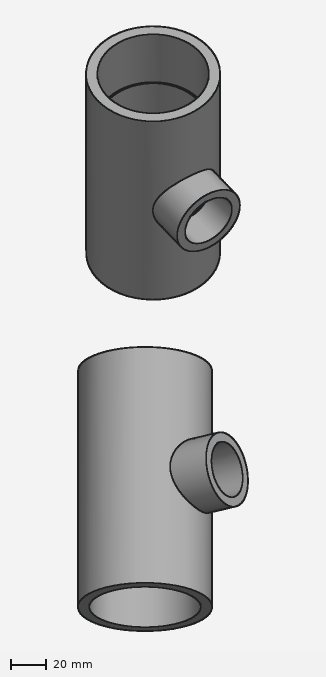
import cadquery as cq

body_length = 143.0
body_diameter = 76.0
body_socket_diameter = 63.0
body_bore_diameter = 61.0
body_socket_depth = 38.3

branch_reach = 55.6
branch_diameter = 43.0
branch_socket_diameter = 32.0
branch_bore_diameter = 31.0
branch_socket_depth = 21.5


def vertical_cylinder(diameter, bottom, top):
    return cq.Workplane("XY").workplane(offset=bottom).circle(diameter / 2).extrude(top - bottom)


def branch_cylinder(diameter, start, end):
    return cq.Workplane("YZ").workplane(offset=start).circle(diameter / 2).extrude(end - start)


half_length = body_length / 2
tee = vertical_cylinder(body_diameter, -half_length, half_length)
tee = tee.union(branch_cylinder(branch_diameter, 0, branch_reach))

socket_floor = half_length - body_socket_depth
tee = tee.cut(vertical_cylinder(body_bore_diameter, -half_length, half_length))
tee = tee.cut(vertical_cylinder(body_socket_diameter, socket_floor, half_length))
tee = tee.cut(vertical_cylinder(body_socket_diameter, -half_length, -socket_floor))

branch_socket_floor = branch_reach - branch_socket_depth
tee = tee.cut(branch_cylinder(branch_bore_diameter, 0, branch_reach))
tee = tee.cut(branch_cylinder(branch_socket_diameter, branch_socket_floor, branch_reach))

result = tee